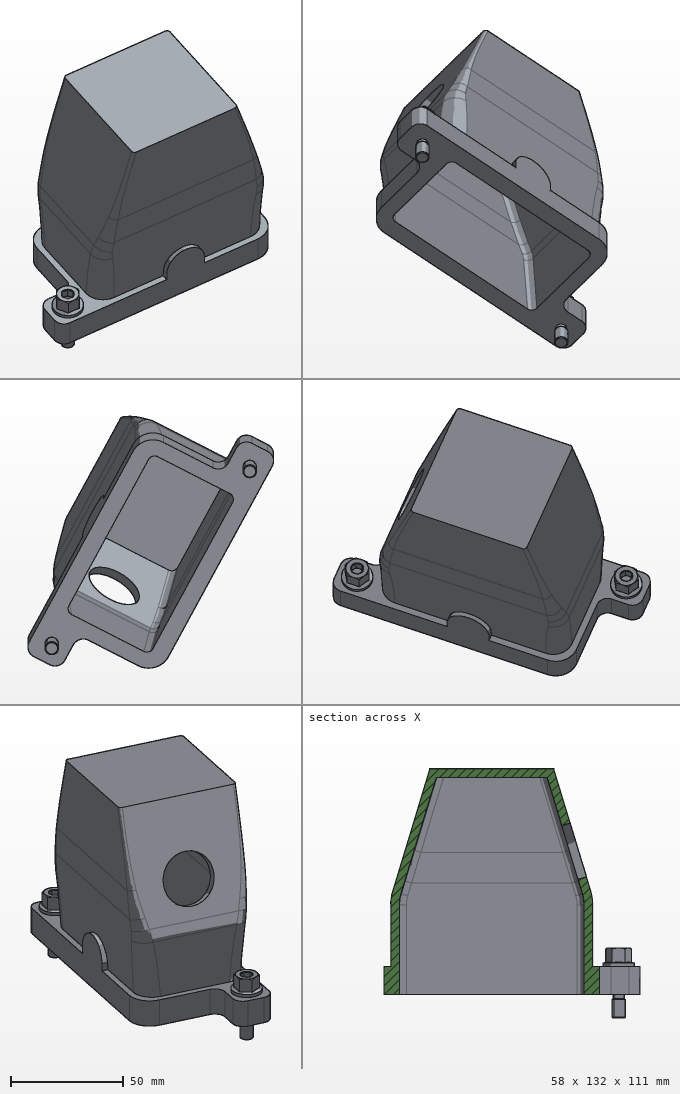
import cadquery as cq
import math


half_width = 29.0
foot_half_length = 48.0
ear_end = 66.0
ear_width = 18.0
foot_height = 12.5
foot_corner_radius = 10.0
ear_radius = 5.0

hood_top = 100.5
hood_half_length = 45.0
roof_half_length = 27.6
hood_foot_half_width = 26.0
end_bend_z = 43.2
end_bend_radius = 21.0
side_bend_z = 56.4
side_bend_radius = 200.0
corner_rounding = [(foot_height, 9.0), (40.0, 7.1), (63.3, 3.1), (hood_top, 1.5)]

wall = 4.0
cavity_corner_radius = 3.0
cable_entry_diameter = 25.0
cable_entry_z = 64.3

lug_radius = 10.0
lug_centre_z = 16.0

screw_x = half_width - ear_width / 2
screw_y = 56.5
collar_diameter = 14.0
collar_rim_height = 1.5
collar_height = 1.9
hex_flats = 10.0
head_top = 20.7
head_chamfer_angle = 30.0
socket_flats = 5.0
socket_depth = 4.0
drill_point_angle = 118.0
neck_diameter = 5.0
neck_length = 1.8
thread_diameter = 6.0
thread_chamfer = (thread_diameter - neck_diameter) / 2
screw_tip = -10.5
tip_chamfer = 0.4

hex_corners = hex_flats / math.cos(math.pi / 6)
socket_corners = socket_flats / math.cos(math.pi / 6)
end_lean = math.atan((hood_half_length - roof_half_length) / (hood_top - end_bend_z))
side_draft = math.atan((half_width - hood_foot_half_width) / (side_bend_z - foot_height))


def bent_profile(plane, foot, bend, top, radius):
    """Symmetric closed outline; foot, bend and top are (half width, height), with the bend rounded."""
    lower_lean = math.atan2(bend[0] - foot[0], bend[1] - foot[1])
    upper_lean = math.atan2(top[0] - bend[0], top[1] - bend[1])
    tangent = radius * math.tan((lower_lean - upper_lean) / 2)
    arc_start = (bend[0] - tangent * math.sin(lower_lean), bend[1] - tangent * math.cos(lower_lean))
    arc_end = (bend[0] + tangent * math.sin(upper_lean), bend[1] + tangent * math.cos(upper_lean))
    return (
        plane.moveTo(-foot[0], foot[1])
        .lineTo(*foot)
        .lineTo(*arc_start)
        .tangentArcPoint(arc_end, relative=False)
        .lineTo(*top)
        .lineTo(-top[0], top[1])
        .lineTo(-arc_end[0], arc_end[1])
        .tangentArcPoint((-arc_start[0], arc_start[1]), relative=False)
        .close()
    )


def sharp_hood(foot_z, inset):
    """Hood block with sharp corners, its walls and roof moved inwards by the inset."""
    top_z = hood_top - inset
    length = hood_half_length - inset
    bend_z = end_bend_z - inset * math.tan(end_lean / 2)
    roof_length = length - (top_z - bend_z) * math.tan(end_lean)
    width = half_width - inset
    foot_width = width - (side_bend_z - foot_z) * math.tan(side_draft)
    ends = bent_profile(
        cq.Workplane("YZ", origin=(-half_width, 0, 0)),
        (length, foot_z), (length, bend_z), (roof_length, top_z), end_bend_radius - inset,
    ).extrude(2 * half_width)
    sides = bent_profile(
        cq.Workplane("XZ", origin=(0, hood_half_length, 0)),
        (foot_width, foot_z), (width, side_bend_z), (width, top_z), side_bend_radius,
    ).extrude(2 * hood_half_length)
    return ends.intersect(sides)


def corner_radius_at(z):
    """Radius of the hood corners at a height, interpolated in the rounding list."""
    for (low_z, low_radius), (high_z, high_radius) in zip(corner_rounding, corner_rounding[1:]):
        if z <= high_z:
            break
    return low_radius + (high_radius - low_radius) * (z - low_z) / (high_z - low_z)


def round_corners(block, radius_at):
    """Round the four rising corner edge chains with a radius that depends on height."""
    solid = block.solids().val()
    rounding = cq.occ_impl.shapes.BRepFilletAPI_MakeFillet(solid.wrapped)
    for edge in solid.Edges():
        if abs(edge.startPoint().z - edge.endPoint().z) > 1:
            rounding.Add(edge.wrapped)
    for chain in range(1, rounding.NbContours() + 1):
        for position in range(1, rounding.NbEdges(chain) + 1):
            for vertex in cq.Edge(rounding.Edge(chain, position)).Vertices():
                rounding.SetRadius(radius_at(vertex.Z), chain, vertex.wrapped)
    return cq.Workplane(cq.Shape.cast(rounding.Shape()))


def foot_flange():
    """Foot plate: two half outlines, each with one ear, turned half a turn from each other."""
    ear_inner = -half_width + ear_width
    outline = cq.Workplane("XY").moveTo(-half_width, foot_corner_radius - foot_half_length)
    for turn in (1, -1):
        def at(x, y):
            return (turn * x, turn * y)

        outline = (
            outline
            .lineTo(*at(-half_width, ear_end - ear_radius))
            .tangentArcPoint(at(-half_width + ear_radius, ear_end), relative=False)
            .lineTo(*at(ear_inner - ear_radius, ear_end))
            .tangentArcPoint(at(ear_inner, ear_end - ear_radius), relative=False)
            .lineTo(*at(ear_inner, foot_half_length + ear_radius))
            .tangentArcPoint(at(ear_inner + ear_radius, foot_half_length), relative=False)
            .lineTo(*at(half_width - foot_corner_radius, foot_half_length))
            .tangentArcPoint(at(half_width, foot_half_length - foot_corner_radius), relative=False)
        )
    return outline.close().extrude(foot_height)


def side_lugs():
    """Round-topped bar across the hood, showing as a lug on each long side."""
    return (
        cq.Workplane("YZ", origin=(-half_width, 0, 0))
        .moveTo(-lug_radius, 0)
        .lineTo(lug_radius, 0)
        .lineTo(lug_radius, lug_centre_z)
        .threePointArc((0, lug_centre_z + lug_radius), (-lug_radius, lug_centre_z))
        .close()
        .extrude(2 * half_width)
    )


def cable_entry():
    """Round hole square to the leaning wall at the +Y end."""
    face_y = roof_half_length + (hood_top - cable_entry_z) * math.tan(end_lean)
    outward = cq.Vector(0, math.cos(end_lean), math.sin(end_lean))
    inner_end = cq.Vector(0, face_y, cable_entry_z) - outward * (2 * wall)
    return cq.Workplane(
        cq.Solid.makeCylinder(cable_entry_diameter / 2, 4 * wall, inner_end, outward)
    )


def make_housing():
    hood = round_corners(sharp_hood(foot_height, 0), corner_radius_at)
    cavity = round_corners(sharp_hood(0, wall), lambda z: cavity_corner_radius)
    screw_holes = cq.Workplane("XY").pushPoints(screw_places).circle(neck_diameter / 2).extrude(foot_height)
    return (
        foot_flange()
        .union(hood)
        .union(side_lugs())
        .cut(cavity)
        .cut(cable_entry())
        .cut(screw_holes)
    )


def hexagon(corners, bottom_z, top_z):
    """Upright hexagonal prism with two corners on the Y direction."""
    return (
        cq.Workplane("XY", origin=(0, 0, bottom_z))
        .polygon(6, corners)
        .extrude(top_z - bottom_z)
        .rotate((0, 0, 0), (0, 0, 1), 90)
    )


def turned(profile):
    """Solid of revolution about Z from (radius, height) points."""
    return cq.Workplane("XZ").polyline(profile).close().revolve(360, (0, 0, 0), (0, 1, 0))


def make_screw():
    """Flange-head screw on the Z axis, its collar resting on the foot."""
    neck = neck_diameter / 2
    thread = thread_diameter / 2
    thread_top = -neck_length
    collar_top = foot_height + collar_height
    shank_and_collar = turned([
        (0, screw_tip),
        (thread - tip_chamfer, screw_tip),
        (thread, screw_tip + tip_chamfer),
        (thread, thread_top - thread_chamfer),
        (neck, thread_top),
        (neck, foot_height),
        (collar_diameter / 2, foot_height),
        (collar_diameter / 2, foot_height + collar_rim_height),
        (hex_flats / 2, collar_top),
        (0, collar_top),
    ])

    chamfer_drop = (hex_corners - hex_flats) / 2 * math.tan(math.radians(head_chamfer_angle))
    head_envelope = turned([
        (0, foot_height),
        (hex_corners / 2, foot_height),
        (hex_corners / 2, head_top - chamfer_drop),
        (hex_flats / 2, head_top),
        (0, head_top),
    ])
    head = hexagon(hex_corners, foot_height, head_top).intersect(head_envelope)

    socket_floor = head_top - socket_depth
    mouth_depth = (socket_corners - socket_flats) / 2
    mouth = turned([
        (0, head_top - mouth_depth),
        (socket_flats / 2, head_top - mouth_depth),
        (socket_corners / 2, head_top),
        (0, head_top),
    ])
    drill_point = turned([
        (0, socket_floor - socket_flats / 2 / math.tan(math.radians(drill_point_angle / 2))),
        (socket_flats / 2, socket_floor),
        (0, socket_floor),
    ])
    socket = hexagon(socket_corners, socket_floor, head_top)
    return shank_and_collar.union(head).cut(socket).cut(mouth).cut(drill_point)


screw_places = [(-screw_x, screw_y), (screw_x, -screw_y)]

housing = make_housing()
screw = make_screw()
screws = [screw.translate((x, y, 0)) for x, y in screw_places]

result = cq.Compound.makeCompound([housing.solids().val(), *[placed.solids().val() for placed in screws]])